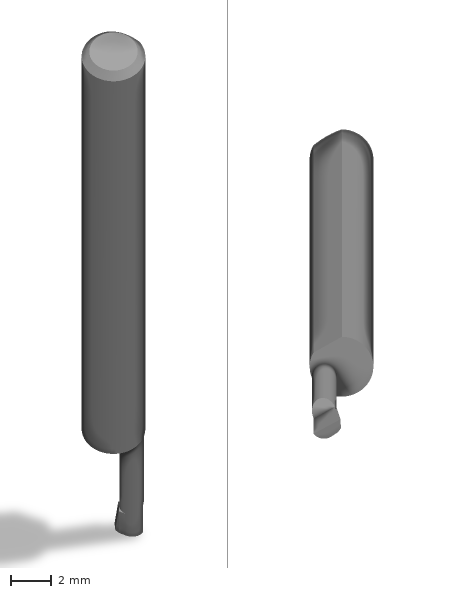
import cadquery as cq

total_length = 38.1
shank_diameter = 3.15
shank_radius = shank_diameter / 2
flat_distance = 1.353
shank_chamfer = 0.4
shank_bottom = 7.65

neck_diameter = 1.22
neck_radius = neck_diameter / 2
neck_x = shank_radius - neck_radius
neck_y = 0.05
neck_front_y = neck_y - neck_radius
neck_back_y = neck_y + neck_radius

rake_y = neck_y
rake_bottom = 2.3
rake_top = 2.8

head_height = 1.9
tip_x = 0.05
side_lean = 0.21
flank_width = 0.23
flank_y = -0.42
heel_x = 0.55
heel_y = -0.55

end_rise_x = 0.08
end_rise_y = 0.135


def make_shank():
    shank = (
        cq.Workplane("XY")
        .workplane(offset=shank_bottom)
        .circle(shank_radius)
        .extrude(total_length - shank_bottom)
        .faces(">Z")
        .chamfer(shank_chamfer)
    )
    beyond_flat = (
        cq.Workplane("XY")
        .box(shank_diameter, shank_radius, total_length, centered=(True, False, False))
        .translate((0, flat_distance, 0))
    )
    return shank.cut(beyond_flat)


def make_neck():
    neck = cq.Workplane("XY").center(neck_x, neck_y).circle(neck_radius).extrude(shank_bottom + neck_radius)
    rake_cut = (
        cq.Workplane("YZ")
        .polyline([(rake_y, 0), (neck_back_y, 0), (neck_back_y, rake_top), (rake_y, rake_bottom)])
        .close()
        .extrude(shank_diameter)
    )
    return neck.cut(rake_cut)


def head_section(edge_x):
    """Section with its cutting edge at edge_x and its back meeting the lowest Y of the neck."""
    return [
        (edge_x, rake_y),
        (edge_x + flank_width, flank_y),
        (heel_x, heel_y),
        (neck_x, neck_front_y),
        (neck_x, rake_y),
    ]


def make_head():
    return (
        cq.Workplane("XY")
        .polyline(head_section(tip_x))
        .close()
        .workplane(offset=head_height)
        .polyline(head_section(tip_x + side_lean))
        .close()
        .loft(ruled=True)
    )


def make_end_relief():
    """Wedge under a plane through the tip, rising towards +X and -Y."""
    slope_x = end_rise_x / (shank_radius - tip_x)
    slope_y = end_rise_y / (rake_y - neck_front_y)
    relief_plane = cq.Plane(origin=(tip_x, rake_y, 0), xDir=(1, 0, slope_x), normal=(-slope_x, slope_y, 1))
    return cq.Workplane(relief_plane).rect(2 * shank_diameter, 2 * shank_diameter).extrude(-neck_diameter)


tool_end = make_neck().union(make_head()).cut(make_end_relief())
result = make_shank().union(tool_end)